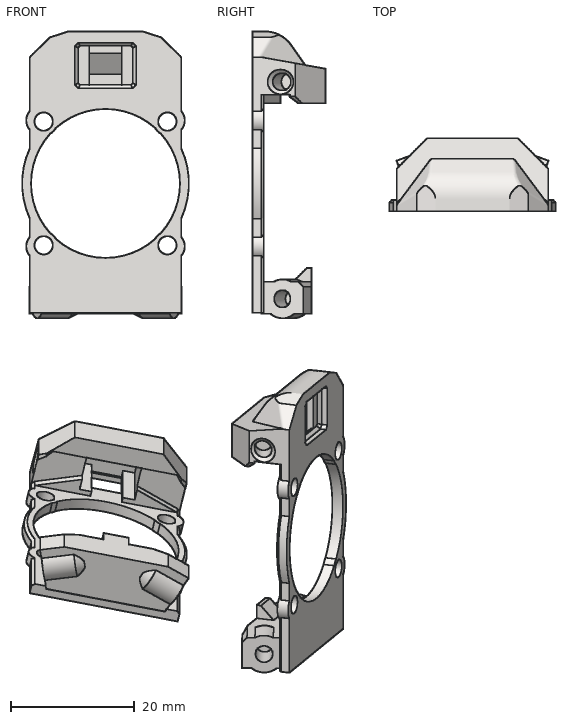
import cadquery as cq
import math


plate_thickness = 1.85
plate_chamfer = 0.45
half_width = 12.25
top_z = 24.6
bottom_z = -20.9
ring_diameter = 27.0
bore_radius = 12.0
screw_pitch = 20.0
screw_diameter = 2.9
ear_radius = 2.23
ear_shift_x = 0.6
ear_shift_z = 0.2

block_depth = 11.85
block_corner_chamfer = 4.9
block_ledge_y = 1.4
block_front_z = 20.4
block_rear_z = 18.55
arm_bottom_z = 14.35
block_bottom_z = 12.95
block_foot_side_y = 5.95
block_foot_rear_y = 8.6
block_foot_angle = 53.0
block_foot_chamfer = 1.1
rib_depth = 4.55

hump_half_width_top = 6.0
hump_knee = (9.0, 23.6)
hump_flat_y = 2.0
hump_radius = 5.25
hump_slope_angle = 55.0
hump_side_points = ((-12.25, 1.1, 20.4), (-7.15, 8.0, 19.15), (-8.75, 3.15, 23.9))
hump_edge_fillet = 0.8

pocket_half_width = 4.4
pocket_bottom_z = 15.9
pocket_top_z = 22.2
pocket_depth = 1.55
pocket_chamfer = 0.55
pocket_corner = 0.6
slot_half_width = 2.6
cavity_front_y = 2.7
cavity_rear_y = 7.9
cavity_half_width = 4.55
cavity_slope_bottom_z = 17.62
cavity_slope_top_z = 21.05

mount_angle = 20.0
mount_diameter = 2.8
top_mount_y = 4.55
top_mount_z = 16.4
top_mount_depth = 4.2
mount_chamfer = 0.6

base_depth = 9.55
base_top_z = -15.85
base_bottom_z = -21.05
lug_corner = (-12.3, 8.2)
lug_edge_chamfer = 0.85
barrel_radius = 3.15
barrel_y = 4.82
barrel_z = -18.65
barrel_length = 5.3
barrel_taper_length = 1.5
barrel_end_radius = 2.45
base_mount_depth = 5.35
hook_half_width = 2.1
hook_top_z = -13.65
hook_tip = 0.75

axis_dir = cq.Vector(math.cos(math.radians(mount_angle)), math.sin(math.radians(mount_angle)), 0)


def box(x_range, y_range, z_range):
    """Axis-aligned box from three (low, high) pairs."""
    size = [high - low for low, high in (x_range, y_range, z_range)]
    corner = (x_range[0], y_range[0], z_range[0])
    return cq.Workplane("XY").box(*size, centered=False).translate(corner)


def wide_box(half, y_range, z_range):
    """Box that is symmetric about X = 0."""
    return box((-half, half), y_range, z_range)


def disc(radius, x, z, thickness):
    """Cylinder along Y that starts on the front face."""
    return cq.Workplane("XZ", origin=(x, 0, z)).circle(radius).extrude(-thickness)


def side_profile(points, half):
    """Outline in Y and Z, extruded evenly to both sides of X = 0."""
    return cq.Workplane("YZ").polyline(points).close().extrude(half, both=True)


def symmetric(points):
    """Right-hand points followed by their mirror images in reverse order."""
    return points + [(-across, other) for across, other in reversed(points)]


def foot_prism(points):
    """Symmetric plan outline, extruded from the block bottom up to the arms."""
    outline = cq.Workplane("XY", origin=(0, 0, block_bottom_z)).polyline(symmetric(points)).close()
    return outline.extrude(arm_bottom_z - block_bottom_z)


def both_sides(shape):
    """Left-hand shape joined with its mirror image."""
    return shape.union(shape.mirror("YZ"))


def screw_places():
    half = screw_pitch / 2
    return [(sx, sz, sx * half, sz * half) for sx in (-1, 1) for sz in (-1, 1)]


def make_plate():
    bar = wide_box(half_width, (0, plate_thickness), (bottom_z, block_front_z))
    bar = bar.edges("|Z and >Y").chamfer(plate_chamfer)
    ring = disc(ring_diameter / 2, 0, 0, plate_thickness).faces(">Y").chamfer(plate_chamfer)
    plate = bar.union(ring).cut(disc(bore_radius, 0, 0, plate_thickness))
    for sx, sz, x, z in screw_places():
        plate = plate.union(disc(ear_radius, x, z, plate_thickness))
        ear = disc(ear_radius, x + sx * ear_shift_x, z + sz * ear_shift_z, plate_thickness)
        plate = plate.union(ear.cut(disc(bore_radius, 0, 0, plate_thickness)))
    return plate


def make_block():
    section = side_profile(
        [
            (0, block_bottom_z),
            (block_depth, block_bottom_z),
            (block_depth, block_rear_z),
            (block_ledge_y, block_front_z),
            (0, block_front_z),
        ],
        half_width,
    )
    block = wide_box(half_width, (0, block_depth), (block_bottom_z, block_front_z))
    block = block.edges("|Z and >Y").chamfer(block_corner_chamfer).intersect(section)
    block = block.edges("|Y and <Z").chamfer(block_foot_chamfer)

    run = (block_foot_rear_y - block_foot_side_y) / math.tan(math.radians(block_foot_angle))
    arms = wide_box(half_width, (0, block_foot_side_y), (arm_bottom_z, block_front_z))
    block = block.union(arms.intersect(section))
    relief = foot_prism(
        [
            (half_width, 0),
            (half_width, block_foot_side_y),
            (half_width - run, block_foot_rear_y),
        ]
    )
    block = block.cut(relief)
    block = block.cut(both_sides(make_top_mount_hole()))
    for side in (-1, 1):
        rim_point = (side * half_width, top_mount_y, top_mount_z + mount_diameter / 2)
        block = block.edges(cq.selectors.NearestToPointSelector(rim_point)).chamfer(mount_chamfer)
    return block.union(make_rib())


def make_rib():
    """Tapered rib under the block, thickest beside the sensor cavity."""
    foot = half_width - plate_chamfer
    return foot_prism(
        [
            (foot, block_ledge_y),
            (foot, plate_thickness),
            (cavity_half_width, rib_depth),
        ]
    )


def make_hump():
    front_points = [
        (half_width, block_rear_z),
        (half_width, block_front_z),
        hump_knee,
        (hump_half_width_top, top_z),
    ]
    front = cq.Workplane("XZ").polyline(symmetric(front_points)).close().extrude(-block_depth)

    angle = math.radians(hump_slope_angle)

    def roof(turn):
        """Point on the rounded roof, turned from straight up towards the rear."""
        centre_z = top_z - hump_radius
        return (hump_flat_y + hump_radius * math.sin(turn), centre_z + hump_radius * math.cos(turn))

    slope_y, slope_z = roof(angle)
    foot_y = slope_y + (slope_z - block_rear_z) / math.tan(angle)
    side = (
        cq.Workplane("YZ")
        .moveTo(0, block_rear_z)
        .lineTo(0, top_z)
        .lineTo(hump_flat_y, top_z)
        .threePointArc(roof(angle / 2), (slope_y, slope_z))
        .lineTo(foot_y, block_rear_z)
        .close()
        .extrude(half_width, both=True)
    )
    corner, foot, shoulder = [cq.Vector(*point) for point in hump_side_points]
    along = foot - corner
    outward = (shoulder - corner).cross(along)
    reach = ring_diameter
    flank = cq.Workplane(cq.Plane(corner, along, outward)).rect(2 * reach, 2 * reach).extrude(reach)
    hump = front.intersect(side).cut(flank).cut(flank.mirror("YZ"))
    for sign in (-1, 1):
        normal = cq.Vector(sign * abs(outward.x), outward.y, outward.z)
        flank_face = hump.faces(cq.selectors.DirectionNthSelector(normal, -1))
        shoulder_edge = cq.selectors.NearestToPointSelector((sign * abs(shoulder.x), shoulder.y, shoulder.z))
        rounded = flank_face.edges("not <Z").edges(cq.selectors.InverseSelector(shoulder_edge))
        hump = rounded.fillet(hump_edge_fillet)
    return hump


def cut_window(body):
    """Front recess with cut corners and a chamfered floor."""
    pocket = wide_box(
        pocket_half_width + pocket_chamfer,
        (0, pocket_depth),
        (pocket_bottom_z - pocket_chamfer, pocket_top_z + pocket_chamfer),
    )
    pocket = pocket.edges("|Y").chamfer(pocket_corner).faces(">Y").chamfer(pocket_chamfer)
    return body.cut(pocket)


def cut_cavity(body):
    """Slot behind the recess and the wider chamber with a sloping ceiling, open at the bottom."""
    slot = wide_box(slot_half_width, (plate_thickness, cavity_front_y), (block_bottom_z, pocket_top_z))
    slot = slot.union(
        wide_box(slot_half_width, (pocket_depth, plate_thickness), (pocket_bottom_z, pocket_top_z))
    )
    rise = cavity_slope_top_z - cavity_slope_bottom_z
    shoulder_y = cavity_rear_y - rise / math.tan(math.radians(hump_slope_angle))
    chamber = side_profile(
        [
            (cavity_front_y, block_bottom_z),
            (cavity_rear_y, block_bottom_z),
            (cavity_rear_y, cavity_slope_bottom_z),
            (shoulder_y, cavity_slope_top_z),
            (shoulder_y, pocket_top_z),
            (cavity_front_y, pocket_top_z),
        ],
        cavity_half_width,
    )
    return body.cut(slot).cut(chamber)


def mount_cylinder(start, radius, length):
    """Cylinder along the left-hand mounting axis."""
    return cq.Workplane(obj=cq.Solid.makeCylinder(radius, length, start, axis_dir))


def make_top_mount_hole():
    entry = cq.Vector(-half_width, top_mount_y, top_mount_z)
    lead = mount_diameter
    return mount_cylinder(entry - axis_dir * lead, mount_diameter / 2, lead + top_mount_depth)


def lug_end_point():
    """Point where the lower mounting axis meets the angled end face."""
    corner_x, corner_y = lug_corner
    x = corner_x + (corner_y - barrel_y) * math.tan(math.radians(mount_angle))
    return cq.Vector(x, barrel_y, barrel_z)


def make_base():
    """Pair of angled lugs with screw barrels, joined by a bar that carries the hook."""
    height = base_top_z - base_bottom_z
    arm_length = ring_diameter
    lug = cq.Workplane("XY").box(arm_length, arm_length, height, centered=False)
    lug = lug.translate((0, -arm_length, 0)).edges(">Y and >Z").chamfer(lug_edge_chamfer)
    lug = lug.rotate((0, 0, 0), (0, 0, 1), mount_angle).translate((*lug_corner, base_bottom_z))
    left_half = box((lug_corner[0], 0), (block_ledge_y, base_depth), (base_bottom_z, base_top_z))
    base = lug.intersect(left_half)

    start = lug_end_point()
    barrel = mount_cylinder(start, barrel_radius, barrel_length)
    taper = cq.Solid.makeCone(
        barrel_radius, barrel_end_radius, barrel_taper_length, start + axis_dir * barrel_length, axis_dir
    )
    barrel = barrel.union(cq.Workplane(obj=taper))
    barrel_z_range = (barrel_z - barrel_radius, barrel_z + barrel_radius)
    barrel = barrel.intersect(wide_box(half_width, (0, base_depth), barrel_z_range))
    base = base.union(barrel)
    base = base.cut(mount_cylinder(start, mount_diameter / 2, base_mount_depth))

    hook_run = hook_top_z - base_top_z
    hook = side_profile(
        [
            (base_depth, barrel_z),
            (base_depth, hook_top_z),
            (base_depth - hook_tip, hook_top_z),
            (base_depth - hook_tip - hook_run, base_top_z),
            (base_depth - hook_tip - hook_run, barrel_z),
        ],
        hook_half_width,
    )
    return both_sides(base).union(hook)


result = make_plate().union(make_block()).union(make_hump())
result = cut_cavity(cut_window(result))
result = result.union(make_base())
for _, _, screw_x, screw_z in screw_places():
    result = result.cut(disc(screw_diameter / 2, screw_x, screw_z, plate_thickness))